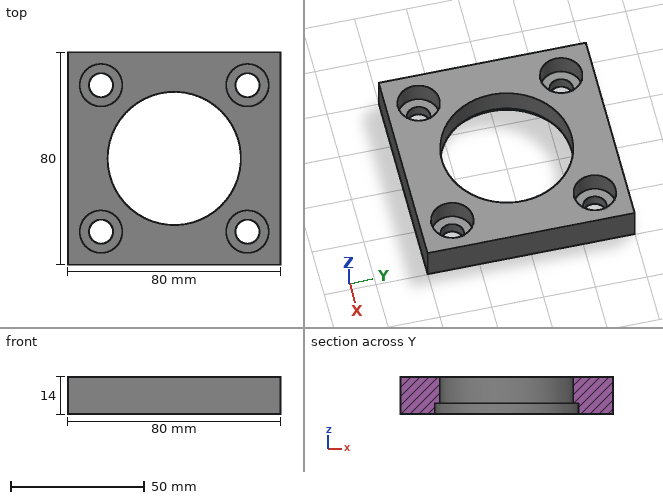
import cadquery as cq

side = 80.0
thickness = 14.0

bore_diameter = 50.0
recess_diameter = 54.0
recess_depth = 4.0

hole_pitch = 55.0
hole_diameter = 9.0
counterbore_diameter = 16.0
counterbore_depth = 9.0

plate = cq.Workplane("XY").box(side, side, thickness)
bored_plate = (
    plate.faces("<Z")
    .workplane()
    .cboreHole(bore_diameter, recess_diameter, recess_depth)
)

result = (
    bored_plate.faces(">Z")
    .workplane()
    .rect(hole_pitch, hole_pitch, forConstruction=True)
    .vertices()
    .cboreHole(hole_diameter, counterbore_diameter, counterbore_depth)
)